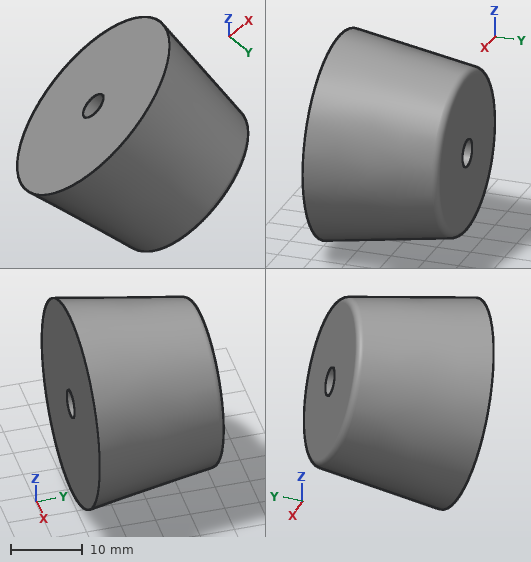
import cadquery as cq

wide_diameter = 30.0
narrow_diameter = 24.0
length = 19.0
hole_diameter = 4.0
edge_radius = 1.0


def tapered_body():
    """Solid cone frustum with its narrow rim rounded."""
    half_profile = (
        cq.Workplane("XY")
        .moveTo(0, 0)
        .lineTo(wide_diameter / 2, 0)
        .lineTo(narrow_diameter / 2, length)
        .lineTo(0, length)
        .close()
    )
    frustum = half_profile.revolve(360, (0, 0, 0), (0, 1, 0))
    return frustum.faces(">Y").edges().fillet(edge_radius)


def through_hole():
    """Cylinder that clears the full length of the axis."""
    return cq.Workplane("XZ").circle(hole_diameter / 2).extrude(-length)


result = tapered_body().cut(through_hole())